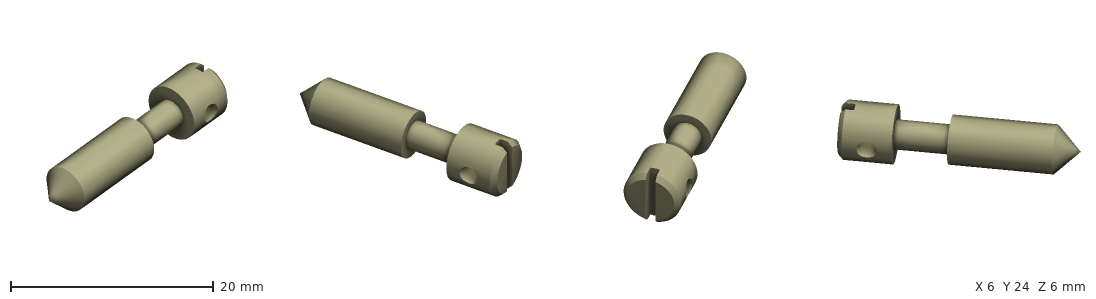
import cadquery as cq

total_length = 24.0

head_diameter = 6.0
head_length = 5.5
head_chamfer = 0.5

neck_diameter = head_diameter / 2
neck_length = head_length

pin_diameter = 5.0
tip_length = pin_diameter / 2

slot_width = 1.0
slot_depth = 1.4

hole_diameter = 2.0
hole_from_end = 3.0

head_end = total_length
head_start = head_end - head_length
neck_start = head_start - neck_length


def turned_body():
    """Revolve the half profile (radius, Y) about the Y axis."""
    head_radius = head_diameter / 2
    neck_radius = neck_diameter / 2
    pin_radius = pin_diameter / 2
    profile = [
        (0, 0),
        (pin_radius, tip_length),
        (pin_radius, neck_start),
        (neck_radius, neck_start),
        (neck_radius, head_start),
        (head_radius, head_start),
        (head_radius, head_end - head_chamfer),
        (head_radius - head_chamfer, head_end),
        (0, head_end),
    ]
    return cq.Workplane("XY").polyline(profile).close().revolve(360, (0, 0), (0, 1))


def driver_slot():
    """Slot running along Z, open at the head end."""
    slot = cq.Workplane("XY").box(slot_width, slot_depth, head_diameter)
    return slot.translate((0, head_end - slot_depth / 2, 0))


def cross_hole():
    """Round hole running along X through the whole head."""
    plane = cq.Workplane("YZ").center(head_end - hole_from_end, 0)
    return plane.circle(hole_diameter / 2).extrude(head_diameter, both=True)


result = turned_body().cut(driver_slot()).cut(cross_hole())